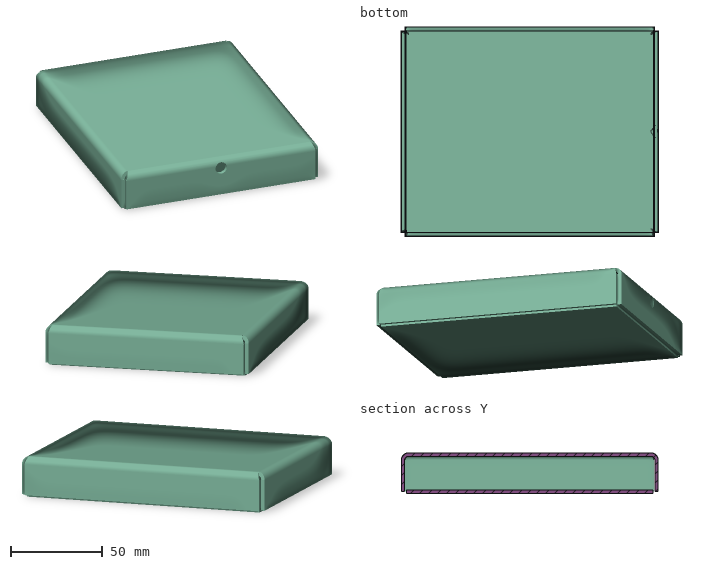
import cadquery as cq
import math

length = 140.0
width = 114.0
height = 22.3

sheet = 2.1
bend_radius = 4.0
corner_notch = 2.2

floor_drop = 1.1
floor_end_inset = 2.8

hole_diameter = 6.6
hole_height = 17.0

inner_radius = bend_radius - sheet
top_length = length - 2 * bend_radius
top_width = width - 2 * bend_radius
flange_depth = height - floor_drop
bend_flare = bend_radius - corner_notch
floor_length = length - 2 * floor_end_inset
floor_width = width - 2 * sheet


def bend_end_waste(plate_span, side):
    """Wedge beyond a bend's sloping end, which runs from the plate corner out to the wall end."""
    diagonal = bend_radius * math.sqrt(2)
    slope = cq.Plane(
        origin=(side * plate_span / 2, 0, 0),
        xDir=(side, 0, 0),
        normal=(0, side, -side),
    )
    wedge = (
        cq.Workplane(slope)
        .polyline([(0, 0), (bend_flare, diagonal), (bend_flare, 0)])
        .close()
        .extrude(bend_radius, both=True)
    )
    bend_zone = cq.Workplane("XY").box(
        plate_span + 2 * bend_flare, 2 * bend_radius, bend_radius, centered=(True, True, False)
    )
    return wedge.intersect(bend_zone.translate((0, 0, -bend_radius)))


def make_flange(plate_span, edge_distance):
    """Bend and wall facing -Y, hanging from a top plate edge at the given distance from the centre."""
    profile = (
        cq.Workplane("YZ")
        .moveTo(0, 0)
        .radiusArc((-bend_radius, -bend_radius), -bend_radius)
        .lineTo(-bend_radius, -flange_depth)
        .lineTo(-inner_radius, -flange_depth)
        .lineTo(-inner_radius, -bend_radius)
        .radiusArc((0, -sheet), inner_radius)
        .close()
    )
    flange = profile.extrude(plate_span / 2 + bend_flare, both=True)
    for side in (-1, 1):
        flange = flange.cut(bend_end_waste(plate_span, side))
    return flange.translate((0, -edge_distance, height))


def turned(body, angle):
    """Body turned about the vertical axis through the centre of the part."""
    return body.rotate((0, 0, 0), (0, 0, 1), angle)


def make_shell():
    """Top plate with a flange on each of its four edges."""
    shell = (
        cq.Workplane("XY")
        .workplane(offset=height - sheet)
        .rect(top_length, top_width)
        .extrude(sheet)
    )
    long_flange = make_flange(top_length, top_width / 2)
    short_flange = make_flange(top_width, top_length / 2)
    for angle in (0, 180):
        shell = shell.union(turned(long_flange, angle))
        shell = shell.union(turned(short_flange, angle + 90))
    return shell


def make_hole():
    """Cutter along X through the +X flange only."""
    return (
        cq.Workplane("YZ")
        .workplane(offset=length / 2 - bend_radius)
        .center(0, hole_height)
        .circle(hole_diameter / 2)
        .extrude(bend_radius)
    )


floor = cq.Workplane("XY").rect(floor_length, floor_width).extrude(sheet)
result = make_shell().union(floor).cut(make_hole())